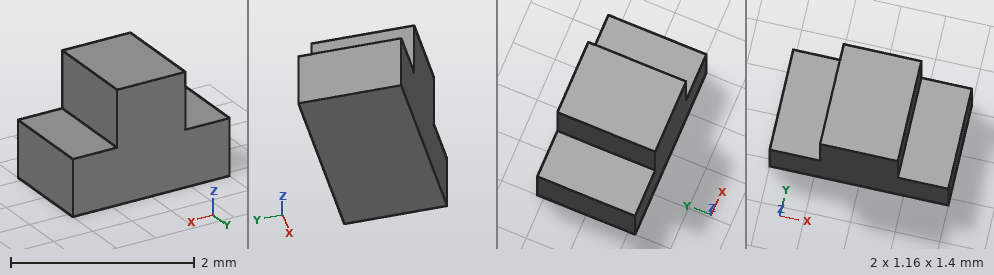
import cadquery as cq

length = 2.0
depth = 1.16
height = 1.4

base_height = height / 2
stem_width = 0.87


def make_block(width, block_height):
    """Full-depth block centred on X and Y, standing on Z = 0."""
    return cq.Workplane("XY").box(width, depth, block_height, centered=(True, True, False))


base = make_block(length, base_height)

stem = make_block(stem_width, height)

result = base.union(stem)